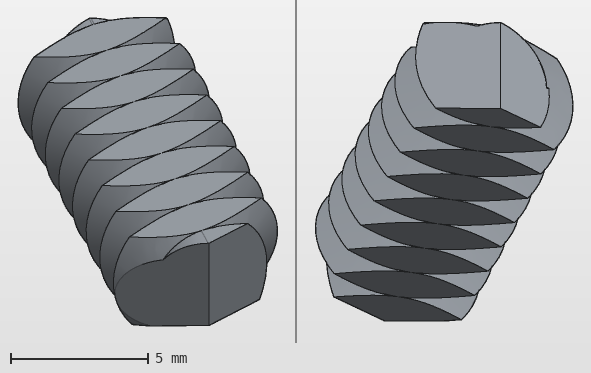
import cadquery as cq
import math

length = 13.12
crest_diameter = 6.6
flat_thickness = 4.0
thread_angle = 60.0
wedge_rise_per_radius = 1 / 3

thread_quarters = 35
quarters_per_turn = 4
start_angle = math.pi
steps_per_quarter = 32

quarter_angle = 2 * math.pi / quarters_per_turn
quarter_rise = length / thread_quarters
pitch = quarters_per_turn * quarter_rise
half_pitch = pitch / 2
end_x = length / 2
crest_radius = crest_diameter / 2
thread_depth = half_pitch / math.tan(math.radians(thread_angle / 2))
root_radius = crest_radius - thread_depth
wedge_length = crest_radius * wedge_rise_per_radius


def point_at(quarter, radius, x):
    """Point at a radius and an X position, turned by quarter turns from the thread start."""
    angle = start_angle + quarter * quarter_angle
    return cq.Vector(x, radius * math.cos(angle), radius * math.sin(angle))


def helix_x(quarter, shift):
    """X position of the crest line after some quarter turns, shifted along the axis."""
    return -end_x + shift + quarter * quarter_rise


def helix_tangent(quarter, radius):
    """Direction of the helix at a radius, so that successive quarter turns join smoothly."""
    across = point_at(quarter + 1, radius, 0)
    rise_per_radian = quarter_rise / quarter_angle
    return (across + cq.Vector(rise_per_radian, 0, 0)).normalized()


def helix_edge(first, last, radius, shift):
    """Helix between two quarter turns that follows the crest line at a radius and axial shift."""
    steps = (last - first) * steps_per_quarter
    turns = [first + i / steps_per_quarter for i in range(steps + 1)]
    points = [point_at(turn, radius, helix_x(turn, shift)) for turn in turns]
    tangents = [helix_tangent(first, radius), helix_tangent(last, radius)]
    return cq.Edge.makeSpline(points, tangents=tangents, scale=False)


def arc_edge(first, last, x):
    """Arc on the core between two quarter turns at a fixed X position."""
    ends_and_middle = [point_at(turn, root_radius, x) for turn in (first, (first + last) / 2, last)]
    return cq.Edge.makeThreePointArc(*ends_and_middle)


def spans(first, last):
    """Split a range of quarter turns where it passes the flats, so no joint shows on the flanks."""
    joints = [turn for turn in range(first + 1, last) if turn % 2 == 1]
    return list(zip([first] + joints, joints + [last]))


def flank_faces():
    """Both flanks of the thread."""
    faces = []
    for first, last in spans(0, thread_quarters):
        crest = helix_edge(first, last, crest_radius, 0)
        for shift in (-half_pitch, half_pitch):
            root = helix_edge(first, last, root_radius, shift)
            faces.append(cq.Face.makeRuledSurface(crest, root))
    return faces


def core_end_faces(first_quarter, shift, core_x):
    """Bare core between the outermost root turn and the flat disc that closes it."""
    faces = []
    rim = []
    for first, last in spans(first_quarter, first_quarter + quarters_per_turn):
        arc = arc_edge(first, last, core_x)
        rim.append(arc)
        root = helix_edge(first, last, root_radius, shift)
        faces.append(cq.Face.makeRuledSurface(arc, root))
    faces.append(cq.Face.makeFromWires(cq.Wire.assembleEdges(rim)))
    return faces


def thread_stop_face(quarter):
    """Flat V-shaped face where the thread starts or stops."""
    x = helix_x(quarter, 0)
    corners = [
        point_at(quarter, root_radius, x - half_pitch),
        point_at(quarter, crest_radius, x),
        point_at(quarter, root_radius, x + half_pitch),
    ]
    return cq.Face.makeFromWires(cq.Wire.makePolygon(corners, close=True))


def threaded_rod():
    """Round screw with square-cut core ends, half a pitch longer than the part at each end."""
    faces = flank_faces()
    faces += core_end_faces(0, -half_pitch, -end_x - half_pitch)
    faces += core_end_faces(thread_quarters - quarters_per_turn, half_pitch, end_x + half_pitch)
    faces += [thread_stop_face(0), thread_stop_face(thread_quarters)]
    return cq.Workplane(obj=cq.Solid.makeSolid(cq.Shell.makeShell(faces)))


def pointed_slab():
    """Slab between the flats with both ends pointed to an edge along Z."""
    shoulder_x = end_x - wedge_length
    return (
        cq.Workplane("XY")
        .workplane(offset=-flat_thickness / 2)
        .moveTo(-end_x, 0)
        .lineTo(-shoulder_x, -crest_radius)
        .lineTo(shoulder_x, -crest_radius)
        .lineTo(end_x, 0)
        .lineTo(shoulder_x, crest_radius)
        .lineTo(-shoulder_x, crest_radius)
        .close()
        .extrude(flat_thickness)
    )


result = threaded_rod().intersect(pointed_slab()).solids()